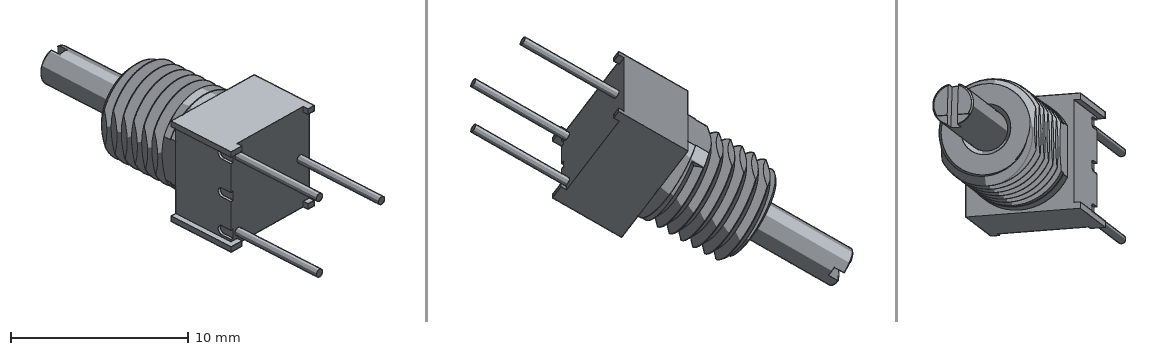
import cadquery as cq

TOTAL_LENGTH = 23.23

SHAFT_DIAMETER = 2.42
TIP_CHAMFER = 0.1
SLOT_WIDTH = 0.6
SLOT_DEPTH = 0.75
SLOT_TILT = 2.0
TIP_STEP_DEPTH = 0.07
TIP_STEP_Z = -0.63

BUSHING_START = 6.2
COLLAR_START = 11.78
HOUSING_START = 12.55
THREAD_DIAMETER = 6.32
COLLAR_DIAMETER = 6.39
BUSHING_FLATS = 5.65
BUSHING_TIP_DIAMETER = 5.3
COUNTERSINK_DIAMETER = 2.95
COUNTERSINK_DEPTH = (COUNTERSINK_DIAMETER - SHAFT_DIAMETER) / 2

CREST_WIDTH = 0.02
THREAD_DEPTH = 0.6
GROOVE_END = 11.25
GROOVE_END_ANGLE = 45.0
GROOVE_TURNS = 7
GROOVE_LENGTH = 5.58
PITCH = GROOVE_LENGTH / GROOVE_TURNS
GROOVE_OVERHANG = 0.012

BLOCK_WIDTH = 6.4
HOUSING_HEIGHT = 6.71
BLOCK_END = 16.86
PLATE_END = 17.24
PLATE_THICKNESS = 0.37
PLATE_OVERHANG = 0.37
PLATE_GAP = 5.4

NOTCH_WIDTH = 0.6
NOTCH_START = 15.87
NOTCH_DEPTH = 0.19

PIN_DIAMETER = 0.5
PIN_SPACING = 2.53
MIDDLE_PIN_Z = -0.02
LOWER_PIN_Y = -2.62
UPPER_PIN_Y = LOWER_PIN_Y + 2 * PIN_SPACING


def box(x_range, y_range, z_range):
    """Box filling the given (low, high) ranges along X, Y and Z."""
    lows, highs = zip(x_range, y_range, z_range)
    sizes = [high - low for low, high in zip(lows, highs)]
    return cq.Workplane("XY").box(*sizes, centered=False).translate(lows)


def cylinder(start, end, diameter, y=0, z=0):
    """Cylinder along X from start to end."""
    return cq.Workplane("YZ", origin=(start, y, z)).circle(diameter / 2).extrude(end - start)


def make_shaft():
    """Shaft with a chamfered tip, a screwdriver slot and a shallow step across the tip."""
    shaft = cylinder(0, HOUSING_START, SHAFT_DIAMETER).faces("<X").chamfer(TIP_CHAMFER)
    half_slot = SLOT_WIDTH / 2
    slot = box((0, SLOT_DEPTH), (-half_slot, half_slot), (-SHAFT_DIAMETER, SHAFT_DIAMETER))
    slot = slot.rotate((0, 0, 0), (1, 0, 0), SLOT_TILT)
    step = box((0, TIP_STEP_DEPTH), (-SHAFT_DIAMETER, SHAFT_DIAMETER), (-SHAFT_DIAMETER, TIP_STEP_Z))
    return shaft.cut(slot).cut(step)


def make_thread_groove():
    """Helical V groove, built along +Z and then laid along X."""
    radius = THREAD_DIAMETER / 2
    half_width = (PITCH - CREST_WIDTH) / 2
    helix = cq.Wire.makeHelix(PITCH, GROOVE_LENGTH, radius)
    groove = (
        cq.Workplane("XZ")
        .polyline([
            (radius - THREAD_DEPTH, 0),
            (radius + GROOVE_OVERHANG, half_width),
            (radius + GROOVE_OVERHANG, -half_width),
        ])
        .close()
        .sweep(cq.Workplane(helix), isFrenet=True)
    )
    groove = groove.rotate((0, 0, 0), (0, 1, 0), 90)
    groove = groove.rotate((0, 0, 0), (1, 0, 0), GROOVE_END_ANGLE)
    return groove.translate((GROOVE_END - GROOVE_LENGTH, 0, 0))


def make_bushing():
    """Threaded bushing and collar with two flats and a countersunk shaft opening."""
    rod_start = GROOVE_END - GROOVE_LENGTH - PITCH
    rod = cylinder(rod_start, COLLAR_START, THREAD_DIAMETER).cut(make_thread_groove())
    tip_chamfer = (COLLAR_DIAMETER - BUSHING_TIP_DIAMETER) / 2
    envelope = cylinder(BUSHING_START, COLLAR_START, COLLAR_DIAMETER).faces("<X").chamfer(tip_chamfer)
    threaded = rod.intersect(envelope)
    collar = cylinder(COLLAR_START, HOUSING_START, COLLAR_DIAMETER)
    half_flats = BUSHING_FLATS / 2
    between_flats = box(
        (BUSHING_START, HOUSING_START),
        (-half_flats, half_flats),
        (-COLLAR_DIAMETER, COLLAR_DIAMETER),
    )
    countersink = cq.Solid.makeCone(
        COUNTERSINK_DIAMETER / 2,
        SHAFT_DIAMETER / 2,
        COUNTERSINK_DEPTH,
        pnt=cq.Vector(BUSHING_START, 0, 0),
        dir=cq.Vector(1, 0, 0),
    )
    return threaded.union(collar).intersect(between_flats).cut(cq.Workplane(countersink))


def make_notch(z):
    """Round-ended notch in the -Y face of the block."""
    radius = NOTCH_WIDTH / 2
    return (
        cq.Workplane("XZ", origin=(0, -BLOCK_WIDTH / 2 + NOTCH_DEPTH, 0))
        .moveTo(BLOCK_END, z - radius)
        .lineTo(NOTCH_START + radius, z - radius)
        .threePointArc((NOTCH_START, z), (NOTCH_START + radius, z + radius))
        .lineTo(BLOCK_END, z + radius)
        .close()
        .extrude(NOTCH_DEPTH)
    )


def make_housing():
    """Block between two plates that overhang it toward -Y and, at their corners, toward +X."""
    half_width = BLOCK_WIDTH / 2
    half_height = HOUSING_HEIGHT / 2
    inner_height = half_height - PLATE_THICKNESS
    housing = box((HOUSING_START, BLOCK_END), (-half_width, half_width), (-half_height, half_height))
    for z in (-PIN_SPACING, 0, PIN_SPACING):
        housing = housing.cut(make_notch(z))
    gap = box(
        (BLOCK_END, PLATE_END),
        (-PLATE_GAP / 2, PLATE_GAP / 2),
        (-half_height, half_height),
    )
    for z_range in ((-half_height, -inner_height), (inner_height, half_height)):
        plate = box((HOUSING_START, PLATE_END), (-half_width - PLATE_OVERHANG, half_width), z_range)
        housing = housing.union(plate.cut(gap))
    return housing


def make_pins():
    """Two pins near the -Y face and one between their levels near the +Y face."""
    pins = cq.Workplane("XY")
    for y, offset in ((LOWER_PIN_Y, -PIN_SPACING), (LOWER_PIN_Y, PIN_SPACING), (UPPER_PIN_Y, 0)):
        pins = pins.add(cylinder(BLOCK_END, TOTAL_LENGTH, PIN_DIAMETER, y, MIDDLE_PIN_Z + offset))
    return pins


result = make_shaft().union(make_bushing()).union(make_housing()).union(make_pins().combine())